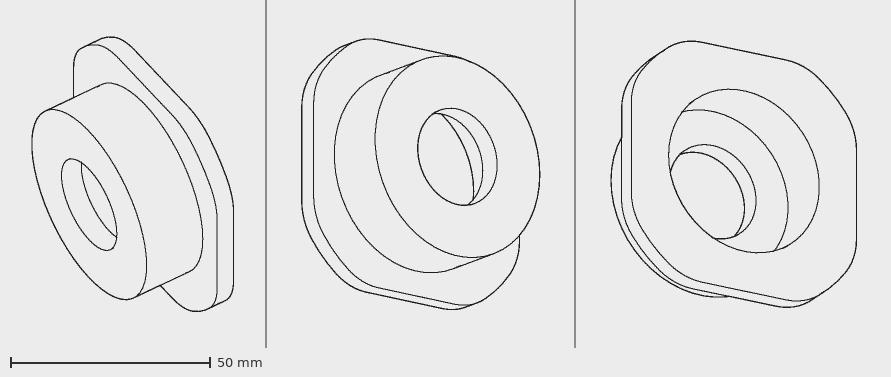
import cadquery as cq
import math

plate_width = 65.0
plate_thickness = 5.0
corner_circle_radius = 36.45
blend_radius = 16.0
total_depth = 22.0
boss_diameter = 52.0
bore_diameter = 25.0
pocket_diameter = 43.5
end_wall_thickness = 6.0

front_y = -total_depth / 2
plate_front_y = total_depth / 2 - plate_thickness
pocket_floor_y = front_y + end_wall_thickness


def cylinder(diameter, start_y, length):
    """Cylinder on the part's axis, running toward +Y from start_y."""
    base = cq.Plane(origin=(0, start_y, 0), xDir=(1, 0, 0), normal=(0, 1, 0))
    return cq.Workplane(base).circle(diameter / 2).extrude(length)


def plate():
    """Square plate with corners trimmed by a circle and blended into the sides."""
    half_width = plate_width / 2
    centre_to_side = half_width - blend_radius
    centre_to_axis = corner_circle_radius - blend_radius
    flat_half = math.sqrt(centre_to_axis**2 - centre_to_side**2)
    touch_angle = math.atan2(flat_half, centre_to_side)
    blend_mid_angle = touch_angle / 2
    blend_mid = (
        centre_to_side + blend_radius * math.cos(blend_mid_angle),
        flat_half + blend_radius * math.sin(blend_mid_angle),
    )

    def on_corner_circle(angle):
        return (corner_circle_radius * math.cos(angle), corner_circle_radius * math.sin(angle))

    def turned(point, quarter_turns):
        x, z = point
        for _ in range(quarter_turns):
            x, z = -z, x
        return (x, z)

    base = cq.Plane(origin=(0, plate_front_y, 0), xDir=(1, 0, 0), normal=(0, -1, 0))
    outline = cq.Workplane(base).moveTo(half_width, -flat_half)
    for quarter in range(4):
        side_end = (half_width, flat_half)
        blend_end = on_corner_circle(touch_angle)
        corner_mid = on_corner_circle(math.pi / 4)
        outline = (
            outline.lineTo(*turned(side_end, quarter))
            .threePointArc(turned(blend_mid, quarter), turned(blend_end, quarter))
            .threePointArc(turned(corner_mid, quarter), turned(blend_end[::-1], quarter))
            .threePointArc(turned(blend_mid[::-1], quarter), turned(side_end[::-1], quarter))
        )
    return outline.close().extrude(-plate_thickness)


boss = cylinder(boss_diameter, front_y, total_depth - plate_thickness)
bore = cylinder(bore_diameter, front_y, total_depth)
pocket = cylinder(pocket_diameter, pocket_floor_y, total_depth - end_wall_thickness)

result = plate().union(boss).cut(bore).cut(pocket)